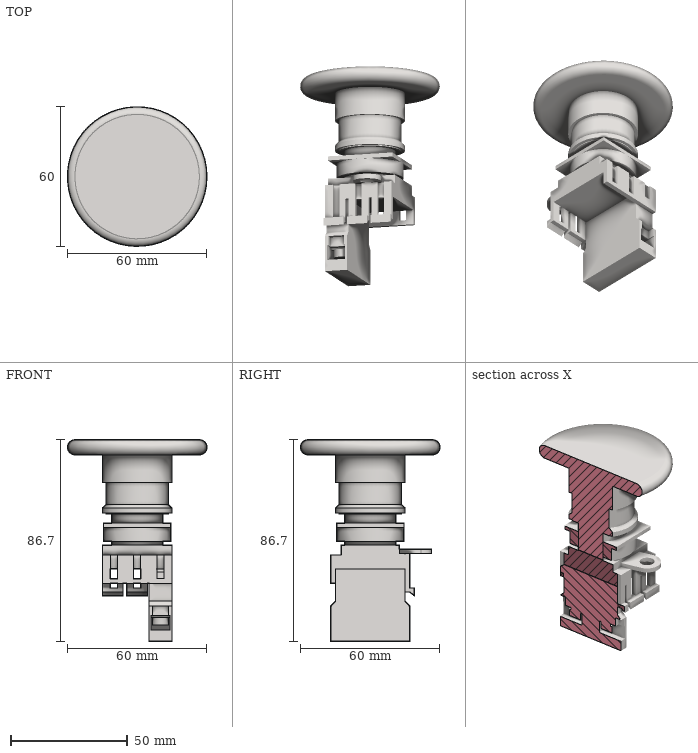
import cadquery as cq

total_height = 86.7
width = 30.0

block_width = 10.0
block_top = 31.2
terminal_length = 34.0
terminal_flare = (terminal_length - width) / 2
flare_start = 15.3
flare_end = flare_start + terminal_flare
block_x = (width - block_width) / 2

pocket_width = 8.0
pocket_floor = 4.9
pocket_ceiling = 10.4
pocket_depth = 12.0
lip_top = 11.2
access_width = 7.0
access_depth = 3.0
lip_depth = 6.0
screw_diameter = 7.0
screw_bottom = 7.0
screw_setback = 8.2

arm_thickness = terminal_flare
holder_length = width + 2 * arm_thickness
holder_top = 41.4
crown_length = 25.0
front_ledge = 37.2
rear_ledge = 37.7
front_arm_bottom = 25.0
rear_arm_bottom = 21.2
hook_top = 23.0
hook_drop = 1.65
arm_gap = 1.5
arm_gap_pitch = 10.5

slot_width = 3.0
slot_pitch = 10.0
front_slot_bottom = 27.0
latch_shoulder = 29.8

lug_thickness = 2.0
lug_radius = 6.0
lug_hole_diameter = 6.4
lug_reach = 21.0
lug_angle = 13.7

nut_bottom = 43.0
plate_bottom = 49.0
plate_top = 50.8
plate_size = 29.0

tube_diameter = 22.0
flange_diameter = 30.0
barrel_diameter = 27.0
gasket_bottom = 54.8
flange_bottom = 55.1
flange_edge_top = 57.3
flange_top = flange_edge_top + (flange_diameter - barrel_diameter) / 2
skirt_bottom = 68.3
cap_diameter = 60.0
cap_thickness = 6.5
cap_rim_radius = cap_thickness / 2


def box(size_x, y_range, z_range, centre_x=0.0):
    """Box centred on centre_x that spans the given Y and Z ranges."""
    y_low, y_high = y_range
    z_low, z_high = z_range
    return cq.Workplane("XY").box(
        size_x, y_high - y_low, z_high - z_low, centered=(True, False, False)
    ).translate((centre_x, y_low, z_low))


def cylinder(diameter, z_range, centre=(0.0, 0.0)):
    """Upright cylinder at an (X, Y) centre that spans the given Z range."""
    z_low, z_high = z_range
    base = cq.Workplane("XY").workplane(offset=z_low).center(*centre)
    return base.circle(diameter / 2).extrude(z_high - z_low)


def side_profile(points, size_x, centre_x=0.0):
    """Extrude a (Y, Z) outline symmetrically about centre_x."""
    solid = cq.Workplane("YZ").polyline(points).close().extrude(size_x / 2, both=True)
    return solid.translate((centre_x, 0, 0))


def make_button():
    """Mushroom cap, skirt, barrel, flange and threaded tube as one turned part."""
    cap_bottom = total_height - cap_thickness
    cap_flat_radius = cap_diameter / 2 - cap_rim_radius
    tube_radius = tube_diameter / 2
    barrel_radius = barrel_diameter / 2
    flange_radius = flange_diameter / 2
    outline = (
        cq.Workplane("XZ")
        .moveTo(0, holder_top)
        .lineTo(tube_radius, holder_top)
        .lineTo(tube_radius, gasket_bottom)
        .lineTo(barrel_radius, gasket_bottom)
        .lineTo(barrel_radius, flange_bottom)
        .lineTo(flange_radius, flange_bottom)
        .lineTo(flange_radius, flange_edge_top)
        .lineTo(barrel_radius, flange_top)
        .lineTo(barrel_radius, skirt_bottom)
        .lineTo(flange_radius, skirt_bottom)
        .lineTo(flange_radius, cap_bottom)
        .lineTo(cap_flat_radius, cap_bottom)
        .threePointArc((cap_diameter / 2, cap_bottom + cap_rim_radius), (cap_flat_radius, total_height))
        .lineTo(0, total_height)
        .close()
    )
    return outline.revolve(360, (0, 0, 0), (0, 1, 0))


def make_nut():
    """Square plate on a round ring, bored to fit the tube."""
    ring = cylinder(plate_size, (nut_bottom, plate_bottom))
    half = plate_size / 2
    plate = box(plate_size, (-half, half), (plate_bottom, plate_top))
    bore = cylinder(tube_diameter, (nut_bottom, plate_top))
    return ring.union(plate).cut(bore)


def make_lug():
    """Eye and strap resting on the rear ledge, with its root at the button axis."""
    lug_heights = (rear_ledge, rear_ledge + lug_thickness)
    eye_centre = (0, lug_reach)
    strap = box(2 * lug_radius, (0, lug_reach), lug_heights)
    eye = cylinder(2 * lug_radius, lug_heights, eye_centre)
    hole = cylinder(lug_hole_diameter, lug_heights, eye_centre)
    lug = strap.union(eye).cut(hole)
    return lug.rotate((0, 0, 0), (0, 0, 1), lug_angle)


def make_holder():
    """Inverted U with slotted arms, three rear hooks and the fixing lug."""
    inner = width / 2
    outer = holder_length / 2
    crown = crown_length / 2
    hook_tip = outer + arm_thickness
    holder = side_profile(
        [
            (-crown, holder_top),
            (-crown, front_ledge),
            (-outer, front_ledge),
            (-outer, front_arm_bottom),
            (-inner, front_arm_bottom),
            (-inner, block_top),
            (inner, block_top),
            (inner, rear_arm_bottom),
            (outer, rear_arm_bottom),
            (hook_tip, rear_arm_bottom - hook_drop),
            (hook_tip, hook_top),
            (outer, hook_top),
            (outer, rear_ledge),
            (crown, rear_ledge),
            (crown, holder_top),
        ],
        width,
    )
    for slot_x in (-slot_pitch, 0, slot_pitch):
        holder = holder.cut(box(slot_width, (-outer, -inner), (front_slot_bottom, front_ledge), slot_x))
        holder = holder.cut(box(slot_width, (inner, outer), (hook_top, rear_ledge), slot_x))
    gap_bottom = rear_arm_bottom - hook_drop
    for gap_x in (-arm_gap_pitch / 2, arm_gap_pitch / 2):
        holder = holder.cut(box(arm_gap, (inner, hook_tip), (gap_bottom, block_top), gap_x))
    return holder.union(make_lug())


def make_terminal_cutter():
    """Space removed from the front end for one screw terminal, leaving the screw standing."""
    front = -terminal_length / 2
    screw_y = front + screw_setback
    pocket = box(pocket_width, (front, front + pocket_depth), (pocket_floor, pocket_ceiling), block_x)
    screw = cylinder(screw_diameter, (screw_bottom, pocket_ceiling), (block_x, screw_y))
    lip = box(pocket_width, (front, front + lip_depth), (pocket_ceiling, lip_top), block_x)
    access = box(access_width, (front, front + access_depth), (lip_top, flare_start), block_x)
    return pocket.cut(screw).union(lip).union(access)


def make_contact_block():
    """Block with a screw terminal in each end and a latch in one front slot of the holder."""
    top = width / 2
    base = terminal_length / 2
    block = side_profile(
        [
            (-base, 0),
            (base, 0),
            (base, flare_start),
            (top, flare_end),
            (top, block_top),
            (-top, block_top),
            (-top, flare_end),
            (-base, flare_start),
        ],
        block_width,
        block_x,
    )
    latch = side_profile(
        [
            (-top, front_slot_bottom),
            (-top, block_top),
            (-base, latch_shoulder),
            (-base, front_slot_bottom),
        ],
        slot_width,
        slot_pitch,
    )
    terminal = make_terminal_cutter()
    return block.cut(terminal).cut(terminal.mirror("XZ")).union(latch)


button = make_button()
nut = make_nut()
holder = make_holder()
contact_block = make_contact_block()

result = cq.Compound.makeCompound([button.val(), nut.val(), holder.val(), contact_block.val()])